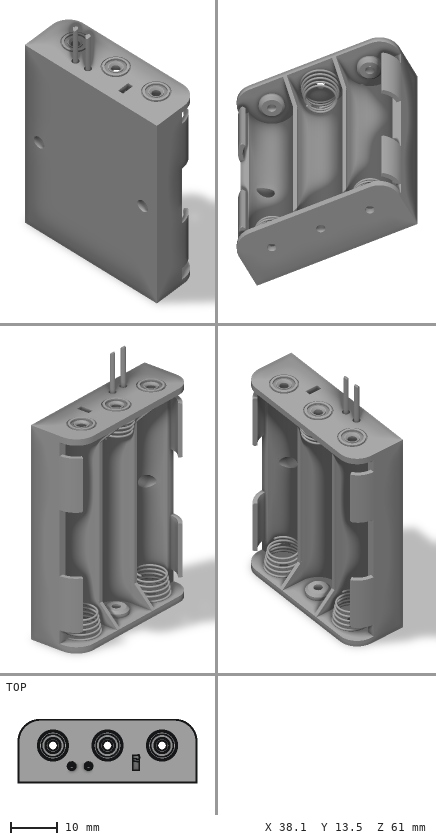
import cadquery as cq
import math


WIDTH = 38.1
DEPTH = 13.46
TOTAL_HEIGHT = 60.96
HEIGHT = 51.44
WALL_DEPTH = 8.0
PLATE = 1.52
CORNER_RADIUS = 4.7

CELL_PITCH = 11.65
CELL_RADIUS = 5.4
CELL_Y = 7.93
CELL_XS = (-CELL_PITCH, 0.0, CELL_PITCH)

DIVIDER_XS = (-CELL_PITCH / 2, CELL_PITCH / 2)
DIVIDER_BLANK_WIDTH = 2.0
DIVIDER_TOP_Y = 8.5
GUSSET_THICKNESS = CELL_PITCH - 2 * math.sqrt(CELL_RADIUS**2 - (DIVIDER_TOP_Y - CELL_Y) ** 2)

CLIP_RADIUS = 5.4
CLIP_THICKNESS = 1.0
CLIP_TIP_Y = 12.5
CLIP_LENGTH = 13.0
CLIP_END_OFFSET = 4.8
CLIP_TIP_CHAMFER = 0.25

MOUNT_HOLE_DIAMETER = 3.05
MOUNT_HOLE_X = 14.95

EYELET_BORE_RADIUS = 1.0
EYELET_MOUTH_RADIUS = 1.5
EYELET_RIM_RADIUS = 1.67
EYELET_RECESS_RADIUS = 2.43
EYELET_FLANGE_RADIUS = 2.92
EYELET_SEAT_RADIUS = 3.25
EYELET_SEAT_DEPTH = 0.3
EYELET_PROUD = 0.17
EYELET_RECESS_DEPTH = 0.65
EYELET_RIM_HEIGHT = 0.5
EYELET_FUNNEL_DEPTH = 0.5

BUTTON_RADIUS = 2.8
BUTTON_HEIGHT = 1.5
BUTTON_CHAMFER = 0.6
SPRING_WIRE_RADIUS = 0.25
SPRING_BASE_RADIUS = 4.25
SPRING_PITCH = 1.1
SPRING_TURNS = 5
SPRING_TAPER_ANGLE = 10.0

LEAD_RADIUS = 0.57
LEAD_HOLE_RADIUS = 0.86
LEAD_XS = (-7.65, -4.05)
LEAD_Y = 3.53
LEAD_TIP_DROP = 0.5
LEAD_NOTCH_DEPTH = 0.3
LEAD_NOTCH_OFFSET = 0.2

SLOT_X = 6.13
SLOT_WIDTH = 1.4
SLOT_Y_MIN = 2.7
SLOT_Y_MAX = 5.87
SLOT_DEPTH = 2.0

LINK_RADIUS = 0.25
LINK_LEFT_Y = 4.95
LINK_RIGHT_Y = 4.65


def block(x_min, x_max, y_min, y_max, z_min, z_max):
    """Axis-aligned box between the given limits."""
    size = (x_max - x_min, y_max - y_min, z_max - z_min)
    return cq.Workplane("XY").box(*size, centered=False).translate((x_min, y_min, z_min))


def rod(x, y, z_min, z_max, radius):
    """Cylinder parallel to Z."""
    return cq.Workplane("XY", origin=(x, y, z_min)).circle(radius).extrude(z_max - z_min)


def upside_down(shape):
    """Mirror a shape to the other end of the holder."""
    return shape.mirror("XY", (0, 0, HEIGHT / 2))


def make_end_plate():
    """Lower end plate, rounded at its two open-side corners."""
    plate = block(-WIDTH / 2, WIDTH / 2, 0, DEPTH, 0, PLATE)
    return plate.edges("|Z and >Y").fillet(CORNER_RADIUS)


def make_gusset(x):
    """45-degree web from the rim of the lower end plate down to a divider."""
    reach = DEPTH - WALL_DEPTH
    return (
        cq.Workplane("YZ", origin=(x - GUSSET_THICKNESS / 2, 0, 0))
        .polyline([(WALL_DEPTH, PLATE), (DEPTH, PLATE), (WALL_DEPTH, PLATE + reach)])
        .close()
        .extrude(GUSSET_THICKNESS)
    )


def make_tray():
    """Body with three round cell troughs between two end plates."""
    tray = block(-WIDTH / 2, WIDTH / 2, 0, WALL_DEPTH, 0, HEIGHT)
    for x in DIVIDER_XS:
        half = DIVIDER_BLANK_WIDTH / 2
        tray = tray.union(block(x - half, x + half, 0, DIVIDER_TOP_Y, 0, HEIGHT))
    for x in CELL_XS:
        tray = tray.cut(rod(x, CELL_Y, PLATE, HEIGHT - PLATE, CELL_RADIUS))
    end_parts = make_end_plate()
    for x in DIVIDER_XS:
        end_parts = end_parts.union(make_gusset(x))
    return tray.union(end_parts).union(upside_down(end_parts))


def make_clip():
    """Curved retaining clip on the -X wall near the lower end."""
    center_x = CLIP_RADIUS - WIDTH / 2
    tip_angle = math.asin((CLIP_TIP_Y - WALL_DEPTH) / CLIP_RADIUS)
    inner_radius = CLIP_RADIUS - CLIP_THICKNESS

    def arc_point(radius, angle):
        return (center_x - radius * math.cos(angle), WALL_DEPTH + radius * math.sin(angle))

    clip = (
        cq.Workplane("XY", origin=(0, 0, CLIP_END_OFFSET))
        .moveTo(*arc_point(CLIP_RADIUS, 0))
        .threePointArc(arc_point(CLIP_RADIUS, tip_angle / 2), arc_point(CLIP_RADIUS, tip_angle))
        .lineTo(*arc_point(inner_radius, tip_angle))
        .threePointArc(arc_point(inner_radius, tip_angle / 2), arc_point(inner_radius, 0))
        .close()
        .extrude(CLIP_LENGTH)
    )
    z_end = CLIP_END_OFFSET + CLIP_LENGTH
    envelope = block(-WIDTH / 2, center_x, 0, CLIP_TIP_Y, CLIP_END_OFFSET, z_end)
    return clip.intersect(envelope.edges("|X and >Y").chamfer(CLIP_TIP_CHAMFER))


def make_clips():
    """Clips at both ends of both outer walls."""
    left = make_clip()
    left = left.union(upside_down(left))
    return left.union(left.mirror("YZ"))


def make_eyelet(x):
    """Flange, recess and rolled rim of an eyelet, set in the upper plate."""
    z_seat = HEIGHT - EYELET_SEAT_DEPTH
    z_top = HEIGHT + EYELET_PROUD
    z_recess = z_top - EYELET_RECESS_DEPTH
    z_rim = z_recess + EYELET_RIM_HEIGHT
    flange = rod(x, CELL_Y, z_seat, z_top, EYELET_FLANGE_RADIUS)
    recess = rod(x, CELL_Y, z_recess, z_top, EYELET_RECESS_RADIUS)
    rim = rod(x, CELL_Y, z_recess, z_rim, EYELET_RIM_RADIUS)
    return flange.cut(recess).union(rim)


def make_eyelet_funnel(x):
    """Tapered mouth that leads from the eyelet rim into its bore."""
    z_rim = HEIGHT + EYELET_PROUD - EYELET_RECESS_DEPTH + EYELET_RIM_HEIGHT
    z_throat = z_rim - EYELET_FUNNEL_DEPTH
    return (
        cq.Workplane("XZ")
        .polyline([(0, z_throat), (EYELET_BORE_RADIUS, z_throat), (EYELET_MOUTH_RADIUS, z_rim), (0, z_rim)])
        .close()
        .revolve(360, (0, 0, 0), (0, 1, 0))
        .translate((x, CELL_Y, 0))
    )


def make_button(x):
    """Button contact on the inside of the lower plate."""
    button = rod(x, CELL_Y, PLATE, PLATE + BUTTON_HEIGHT, BUTTON_RADIUS)
    return button.faces(">Z").chamfer(BUTTON_CHAMFER)


def make_spring(x):
    """Conical coil spring rising from the lower plate, narrowing upwards."""
    path = cq.Wire.makeHelix(
        SPRING_PITCH,
        SPRING_PITCH * SPRING_TURNS,
        SPRING_BASE_RADIUS,
        angle=-SPRING_TAPER_ANGLE,
    )
    spring = (
        cq.Workplane("XZ", origin=(SPRING_BASE_RADIUS, 0, 0))
        .circle(SPRING_WIRE_RADIUS)
        .sweep(cq.Workplane(obj=path), isFrenet=True)
    )
    return spring.translate((x, CELL_Y, PLATE))


def make_cell_contacts(index):
    """Spring and button of one cell; neighbouring cells face opposite ways."""
    spring = make_spring(CELL_XS[index])
    button = make_button(CELL_XS[index])
    if index % 2:
        return [upside_down(spring), button]
    return [spring, upside_down(button)]


def make_lead(x):
    """Lead wire standing in its hole, with an angled, notched tip."""
    lead = rod(x, LEAD_Y, HEIGHT - PLATE, TOTAL_HEIGHT, LEAD_RADIUS)
    front = LEAD_Y - LEAD_RADIUS
    back = LEAD_Y + LEAD_RADIUS
    notch_y = LEAD_Y + LEAD_NOTCH_OFFSET
    slope = [(front, TOTAL_HEIGHT), (front, TOTAL_HEIGHT - LEAD_TIP_DROP), (LEAD_Y, TOTAL_HEIGHT)]
    notch = [(LEAD_Y, TOTAL_HEIGHT), (notch_y, TOTAL_HEIGHT - LEAD_NOTCH_DEPTH), (back, TOTAL_HEIGHT)]
    for outline in (slope, notch):
        cutter = cq.Workplane("YZ", origin=(x - LEAD_RADIUS, 0, 0)).polyline(outline).close()
        lead = lead.cut(cutter.extrude(2 * LEAD_RADIUS))
    return lead


def make_mount_hole(x):
    """Mounting hole through the floor at mid height."""
    hole = cq.Workplane("XZ", origin=(x, 0, HEIGHT / 2)).circle(MOUNT_HOLE_DIAMETER / 2)
    return hole.extrude(-DEPTH)


def make_slot_cutter():
    """Rectangular slot sunk from the upper face."""
    half = SLOT_WIDTH / 2
    return block(SLOT_X - half, SLOT_X + half, SLOT_Y_MIN, SLOT_Y_MAX, HEIGHT - SLOT_DEPTH, HEIGHT)


def make_link_wire():
    """Slightly slanted wire across the slot, with both ends in the slot walls."""
    z = HEIGHT - SLOT_DEPTH + LINK_RADIUS
    start = cq.Vector(SLOT_X - SLOT_WIDTH / 2 - LINK_RADIUS, LINK_LEFT_Y, z)
    end = cq.Vector(SLOT_X + SLOT_WIDTH / 2 + LINK_RADIUS, LINK_RIGHT_Y, z)
    span = end - start
    return cq.Workplane(obj=cq.Solid.makeCylinder(LINK_RADIUS, span.Length, start, span))


part = make_tray().union(make_clips())

for hole_x in (-MOUNT_HOLE_X, MOUNT_HOLE_X):
    part = part.cut(make_mount_hole(hole_x))

part = part.cut(make_slot_cutter()).union(make_link_wire())

for lead_x in LEAD_XS:
    part = part.cut(rod(lead_x, LEAD_Y, HEIGHT - PLATE, HEIGHT, LEAD_HOLE_RADIUS))
    part = part.union(make_lead(lead_x))

for cell_index, cell_x in enumerate(CELL_XS):
    part = part.cut(rod(cell_x, CELL_Y, HEIGHT - EYELET_SEAT_DEPTH, HEIGHT, EYELET_SEAT_RADIUS))
    part = part.union(make_eyelet(cell_x))
    part = part.cut(make_eyelet_funnel(cell_x))
    for contact in make_cell_contacts(cell_index):
        part = part.union(contact)
    part = part.cut(rod(cell_x, CELL_Y, 0, HEIGHT, EYELET_BORE_RADIUS))

result = part